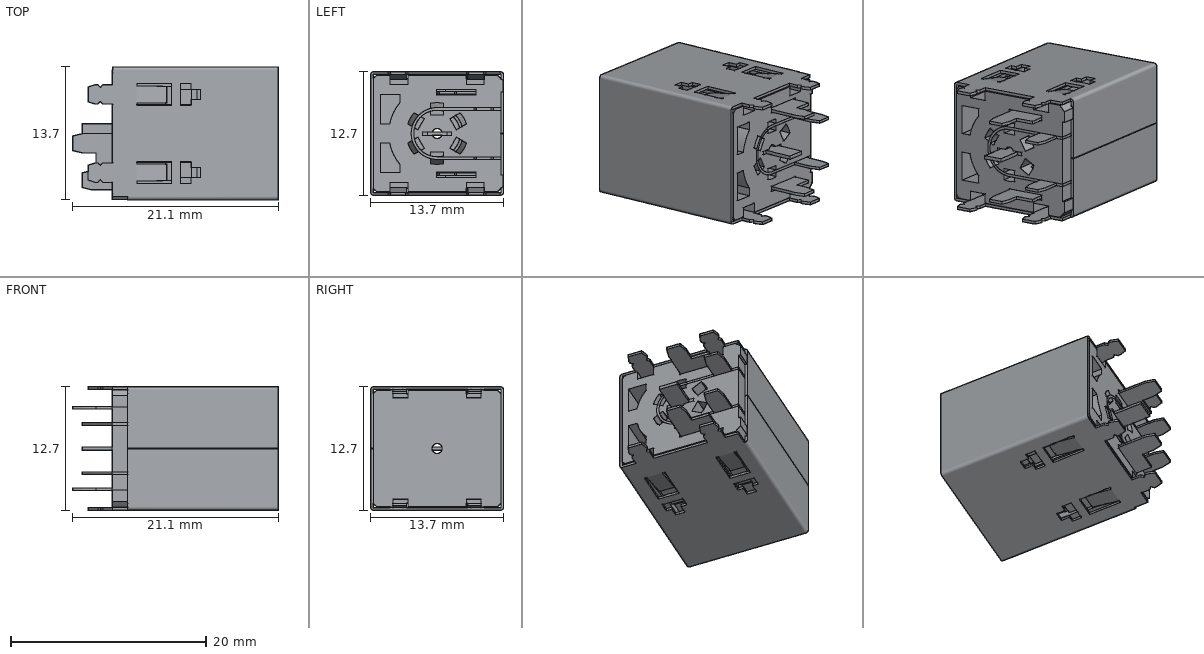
import cadquery as cq
import math

SIDES = (1, -1)

SHIELD_LENGTH = 17.0
SHIELD_WIDTH = 13.65
SHIELD_HEIGHT = 12.7
SHEET = 0.3
BEND_RADIUS = 0.35
SEAM_GAP = 0.06
REAR_BLOCK_LENGTH = 1.55
INNER_HALF_WIDTH = SHIELD_WIDTH / 2 - SHEET
INNER_HALF_HEIGHT = SHIELD_HEIGHT / 2 - SHEET

TAIL_Y = 4.0
TAIL_WIDTH = 2.0
TAIL_LENGTH = 2.51
TAIL_TIP_WIDTH = 1.55
TAIL_TAPER = 0.72
NOTCH_X = -1.27
NOTCH_HALF_LENGTH = 0.25
NOTCH_DEPTH = 0.27
WINDOW_START = 2.5
WINDOW_END = 6.03
WINDOW_WIDTH = 2.28
TEE_START = 6.98
TEE_HEAD_END = 8.04
TEE_END = 8.99
TEE_STEM_WIDTH = 1.03
LATCH_WIDTH = 1.75
LATCH_END = 5.55
LATCH_DROP = 0.53

HOUSING_REAR = -0.06
HOUSING_HALF_HEIGHT = 6.0
REAR_BLOCK_Y = -6.77
CHAMFER_SMALL = 0.34
CHAMFER_LARGE = CHAMFER_SMALL - REAR_BLOCK_Y - INNER_HALF_WIDTH
RECESS_HALF_HEIGHT = 4.25
BORE_DIAMETER = 1.01

GROOVE_INNER_Y = 3.0
GROOVE_OUTER_Y = 4.81
GROOVE_FLOOR_Z = 5.0
GROOVE_END = 5.42
CHANNEL_NARROWING = (WINDOW_END + TEE_START) / 2
CHANNEL_OUTER_Y = TAIL_Y + TEE_STEM_WIDTH / 2
CHANNEL_FLOOR_Z = 5.63
CHANNEL_STEP_X = (8.08, 8.63)
CHANNEL_STEP_DROPS = (0.38, 0.08)

POCKET_INNER_Y = 3.82
POCKET_OUTER_Y = 5.8
POCKET_LOW_Z = 1.0
POCKET_HIGH_Z = 3.99
POCKET_ARC_RADIUS = 4.95
POCKET_DEPTH = 8.45

RING_OUTER_RADIUS = 2.65
RING_INNER_RADIUS = 2.38
RING_START = 1.48
RING_END = 2.95
FINGER_COUNT = 6
FINGER_WIDTH = 1.3
FINGER_TIP_RADIUS = 3.16
OPENING_INNER_RADIUS = 1.9
RADIAL_BAR_END = 3.38

PIN_WIDTH = 2.0
PIN_TIP_WIDTH = 1.52
PIN_TAPER = 1.01
SHORT_PIN_TIP = -3.12
LONG_PIN_TIP = -4.1
RING_PIN_Y = -4.8

CENTRE_THICKNESS = 0.35
CENTRE_SHOULDER_WIDTH = 2.98
CENTRE_END = 2.53

SIDE_PLATE_Z = 4.18
SIDE_THICKNESS = 0.3
SIDE_PLATE_WIDTH = 3.97
SIDE_PLATE_START = -1.73
SIDE_PLATE_END = 3.38
SIDE_SLOT_LOW_Z = 3.97
SIDE_SLOT_HIGH_Z = 4.54
SIDE_SLOT_GAP = 0.06
SIDE_SLOT_DEPTH = 2.53
SIDE_SLOT_STEP_Y = -0.87
SIDE_SLOT_STEP_DEPTH = 1.9


def box(x_range, y_range, z_range):
    """Box between pairs of limits, each pair in any order."""
    low = [min(pair) for pair in (x_range, y_range, z_range)]
    size = [abs(pair[1] - pair[0]) for pair in (x_range, y_range, z_range)]
    return cq.Workplane().box(*size, centered=False).translate(tuple(low))


def prism_x(outline, start, end):
    """Extrude a YZ polygon along X."""
    return cq.Workplane("YZ", origin=(start, 0, 0)).polyline(outline).close().extrude(end - start)


def plate(outline, middle_z, thickness):
    """Extrude an XY polygon symmetrically about a height."""
    base = cq.Workplane("XY", origin=(0, 0, middle_z - thickness / 2))
    return base.polyline(outline).close().extrude(thickness)


def tapered_pin(tip_x, root_x, middle_y, middle_z, thickness):
    """Flat pin that narrows towards its tip."""
    taper_x = tip_x + PIN_TAPER
    upper = [
        (root_x, middle_y + PIN_WIDTH / 2),
        (taper_x, middle_y + PIN_WIDTH / 2),
        (tip_x, middle_y + PIN_TIP_WIDTH / 2),
    ]
    lower = [(x, 2 * middle_y - y) for x, y in reversed(upper)]
    return plate(upper + lower, middle_z, thickness)


def shield_sleeve():
    outer = box(
        (0, SHIELD_LENGTH),
        (-SHIELD_WIDTH / 2, SHIELD_WIDTH / 2),
        (-SHIELD_HEIGHT / 2, SHIELD_HEIGHT / 2),
    )
    inner = box(
        (0, SHIELD_LENGTH),
        (-INNER_HALF_WIDTH, INNER_HALF_WIDTH),
        (-INNER_HALF_HEIGHT, INNER_HALF_HEIGHT),
    )
    sleeve = outer.edges("|X").fillet(BEND_RADIUS).cut(inner)
    rear_cutout = box(
        (0, REAR_BLOCK_LENGTH),
        (-SHIELD_WIDTH / 2, -SHIELD_WIDTH / 2 + BEND_RADIUS),
        (-SHIELD_HEIGHT / 2, SHIELD_HEIGHT / 2),
    )
    seam = box(
        (0, SHIELD_LENGTH),
        (-SHIELD_WIDTH / 2, -INNER_HALF_WIDTH),
        (-SEAM_GAP / 2, SEAM_GAP / 2),
    )
    return sleeve.cut(rear_cutout).cut(seam)


def tail(middle_y, middle_z):
    """Board tail with a V notch in each edge."""
    half = TAIL_WIDTH / 2
    edge = [
        (0, half),
        (NOTCH_X + NOTCH_HALF_LENGTH, half),
        (NOTCH_X, half - NOTCH_DEPTH),
        (NOTCH_X - NOTCH_HALF_LENGTH, half),
        (TAIL_TAPER - TAIL_LENGTH, half),
        (-TAIL_LENGTH, TAIL_TIP_WIDTH / 2),
    ]
    outline = edge + [(x, -y) for x, y in reversed(edge)]
    return plate(outline, middle_z, SHEET).translate((0, middle_y, 0))


def latch(middle_y, side_z):
    """Tongue bent inwards from the rear edge of its window."""
    outer_z = SHIELD_HEIGHT / 2
    tip_lean = SHEET * LATCH_DROP / (LATCH_END - WINDOW_START)
    outline = [
        (WINDOW_START, side_z * outer_z),
        (LATCH_END, side_z * (outer_z - LATCH_DROP)),
        (LATCH_END - tip_lean, side_z * (outer_z - LATCH_DROP - SHEET)),
        (WINDOW_START, side_z * INNER_HALF_HEIGHT),
    ]
    profile = cq.Workplane("XZ", origin=(0, middle_y, 0)).polyline(outline).close()
    return profile.extrude(LATCH_WIDTH / 2, both=True)


def make_shield():
    shield = shield_sleeve()
    for side_z in SIDES:
        wall_z = (side_z * INNER_HALF_HEIGHT, side_z * SHIELD_HEIGHT / 2)
        for side_y in SIDES:
            middle_y = side_y * TAIL_Y
            wide = (middle_y - WINDOW_WIDTH / 2, middle_y + WINDOW_WIDTH / 2)
            narrow = (middle_y - TEE_STEM_WIDTH / 2, middle_y + TEE_STEM_WIDTH / 2)
            shield = shield.cut(box((WINDOW_START, WINDOW_END), wide, wall_z))
            shield = shield.cut(box((TEE_START, TEE_HEAD_END), wide, wall_z))
            shield = shield.cut(box((TEE_HEAD_END, TEE_END), narrow, wall_z))
            shield = shield.union(tail(middle_y, sum(wall_z) / 2))
            shield = shield.union(latch(middle_y, side_z))
    return shield


def ring_fingers():
    """Six flared fingers: a conical skin kept only where the openings are."""
    profile = [
        (RING_START, RING_OUTER_RADIUS),
        (RING_END, FINGER_TIP_RADIUS),
        (RING_END, RING_INNER_RADIUS),
        (RING_START, RING_INNER_RADIUS),
    ]
    cone = cq.Workplane("XY").polyline(profile).close().revolve(360, (0, 0, 0), (1, 0, 0))
    return cone.intersect(radial_bars(RING_START, RING_END))


def radial_bars(start, end):
    """Six radial bars that span the finger openings."""
    bars = cq.Workplane()
    for index in range(FINGER_COUNT):
        bar = box(
            (start, end),
            (-FINGER_WIDTH / 2, FINGER_WIDTH / 2),
            (OPENING_INNER_RADIUS, RADIAL_BAR_END),
        )
        bars = bars.add(bar.rotate((0, 0, 0), (1, 0, 0), index * 360 / FINGER_COUNT))
    return bars.combine()


def u_strip(start, end):
    """Strip bent in a U, open towards -Y."""
    inner, outer = RING_INNER_RADIUS, RING_OUTER_RADIUS
    profile = (
        cq.Workplane("YZ", origin=(start, 0, 0))
        .moveTo(-INNER_HALF_WIDTH, outer)
        .lineTo(0, outer)
        .threePointArc((outer, 0), (0, -outer))
        .lineTo(-INNER_HALF_WIDTH, -outer)
        .lineTo(-INNER_HALF_WIDTH, -inner)
        .lineTo(0, -inner)
        .threePointArc((inner, 0), (0, inner))
        .lineTo(-INNER_HALF_WIDTH, inner)
        .close()
    )
    return profile.extrude(end - start)


def make_ring_contact():
    ring = (
        cq.Workplane("YZ", origin=(RING_START, 0, 0))
        .circle(RING_OUTER_RADIUS)
        .circle(RING_INNER_RADIUS)
        .extrude(RING_END - RING_START)
    )
    contact = u_strip(HOUSING_REAR, RING_END).union(ring).union(ring_fingers())
    thickness = RING_OUTER_RADIUS - RING_INNER_RADIUS
    middle_z = (RING_OUTER_RADIUS + RING_INNER_RADIUS) / 2
    for side_z in SIDES:
        pin = tapered_pin(SHORT_PIN_TIP, RING_START, RING_PIN_Y, side_z * middle_z, thickness)
        contact = contact.union(pin)
    return contact


def make_centre_contact():
    half_thickness = CENTRE_THICKNESS / 2
    z_range = (-half_thickness, half_thickness)
    pin = box((SHORT_PIN_TIP, HOUSING_REAR), (-PIN_WIDTH / 2, PIN_WIDTH / 2), z_range)
    half_shoulder = CENTRE_SHOULDER_WIDTH / 2
    return pin.union(box((HOUSING_REAR, CENTRE_END), (-half_shoulder, half_shoulder), z_range))


def make_side_contact(side_z):
    middle_z = side_z * SIDE_PLATE_Z
    pin = tapered_pin(LONG_PIN_TIP, SIDE_PLATE_END, -PIN_WIDTH / 2, middle_z, SIDE_THICKNESS)
    z_range = (middle_z - SIDE_THICKNESS / 2, middle_z + SIDE_THICKNESS / 2)
    return pin.union(box((SIDE_PLATE_START, SIDE_PLATE_END), (-SIDE_PLATE_WIDTH, 0), z_range))


def housing_block():
    """Block with chamfered long edges and a wider rear end that fills the shield cutout."""
    top = HOUSING_HALF_HEIGHT
    wall = INNER_HALF_WIDTH
    upper = [
        (REAR_BLOCK_Y, top - CHAMFER_LARGE),
        (REAR_BLOCK_Y + CHAMFER_LARGE, top),
        (wall - CHAMFER_SMALL, top),
        (wall, top - CHAMFER_SMALL),
    ]
    outline = upper + [(y, -z) for y, z in reversed(upper)]
    block = prism_x(outline, HOUSING_REAR, SHIELD_LENGTH)
    beside_shield = box((REAR_BLOCK_LENGTH, SHIELD_LENGTH), (REAR_BLOCK_Y, -wall), (-top, top))
    recess = box(
        (HOUSING_REAR, REAR_BLOCK_LENGTH),
        (REAR_BLOCK_Y, -wall),
        (-RECESS_HALF_HEIGHT, RECESS_HALF_HEIGHT),
    )
    bore = cq.Workplane("YZ", origin=(HOUSING_REAR, 0, 0)).circle(BORE_DIAMETER / 2)
    return block.cut(beside_shield).cut(recess).cut(bore.extrude(SHIELD_LENGTH - HOUSING_REAR))


def latch_groove(side_y, side_z):
    """Deep groove at the rear, then a shallow channel that narrows and steps down towards the front."""
    outer_y = GROOVE_OUTER_Y
    channel_y = CHANNEL_OUTER_Y
    first_step, second_step = CHANNEL_STEP_X
    middle_floor_z = CHANNEL_FLOOR_Z - CHANNEL_STEP_DROPS[0]
    front_floor_z = middle_floor_z - CHANNEL_STEP_DROPS[1]
    sections = [
        (HOUSING_REAR, GROOVE_END, outer_y, GROOVE_FLOOR_Z),
        (GROOVE_END, CHANNEL_NARROWING, outer_y, CHANNEL_FLOOR_Z),
        (CHANNEL_NARROWING, first_step, channel_y, CHANNEL_FLOOR_Z),
        (first_step, second_step, channel_y, middle_floor_z),
        (second_step, SHIELD_LENGTH, channel_y, front_floor_z),
    ]
    groove = cq.Workplane()
    for start, end, side_limit, floor_z in sections:
        section = box(
            (start, end),
            (side_y * GROOVE_INNER_Y, side_y * side_limit),
            (side_z * floor_z, side_z * HOUSING_HALF_HEIGHT),
        )
        groove = groove.add(section)
    return groove.combine()


def corner_pocket(side_z):
    arc_y = math.sqrt(POCKET_ARC_RADIUS**2 - POCKET_LOW_Z**2)
    arc_z = math.sqrt(POCKET_ARC_RADIUS**2 - POCKET_INNER_Y**2)
    middle_angle = (math.atan2(POCKET_LOW_Z, arc_y) + math.atan2(arc_z, POCKET_INNER_Y)) / 2
    arc_middle = (
        POCKET_ARC_RADIUS * math.cos(middle_angle),
        side_z * POCKET_ARC_RADIUS * math.sin(middle_angle),
    )
    profile = (
        cq.Workplane("YZ", origin=(HOUSING_REAR, 0, 0))
        .moveTo(POCKET_OUTER_Y, side_z * POCKET_LOW_Z)
        .lineTo(arc_y, side_z * POCKET_LOW_Z)
        .threePointArc(arc_middle, (POCKET_INNER_Y, side_z * arc_z))
        .lineTo(POCKET_INNER_Y, side_z * POCKET_HIGH_Z)
        .lineTo(POCKET_OUTER_Y, side_z * POCKET_HIGH_Z)
        .close()
    )
    return profile.extrude(POCKET_DEPTH)


def finger_openings():
    limit = cq.Workplane("YZ", origin=(HOUSING_REAR, 0, 0)).circle(FINGER_TIP_RADIUS)
    return radial_bars(HOUSING_REAR, RING_END).intersect(limit.extrude(RING_END - HOUSING_REAR))


def side_slot(side_z):
    """Slot wider than the contact in it, shallower at the +Y end."""
    z_range = (side_z * SIDE_SLOT_LOW_Z, side_z * SIDE_SLOT_HIGH_Z)
    shallow_x = (HOUSING_REAR, HOUSING_REAR + SIDE_SLOT_STEP_DEPTH)
    deep_x = (HOUSING_REAR, HOUSING_REAR + SIDE_SLOT_DEPTH)
    shallow = box(shallow_x, (SIDE_SLOT_STEP_Y, SIDE_SLOT_GAP), z_range)
    return shallow.union(box(deep_x, (-SIDE_PLATE_WIDTH, SIDE_SLOT_STEP_Y), z_range))


def make_housing(inserted_bodies):
    housing = housing_block().cut(finger_openings())
    for side_z in SIDES:
        housing = housing.cut(corner_pocket(side_z)).cut(side_slot(side_z))
        for side_y in SIDES:
            housing = housing.cut(latch_groove(side_y, side_z))
    for body in inserted_bodies:
        housing = housing.cut(body, clean=False)
    return housing


shield = make_shield()
ring_contact = make_ring_contact()
centre_contact = make_centre_contact()
side_contacts = [make_side_contact(side_z) for side_z in SIDES]
housing = make_housing([shield, ring_contact, centre_contact, *side_contacts])

result = cq.Compound.makeCompound(
    [
        housing.solids().val(),
        shield.solids().val(),
        ring_contact.solids().val(),
        centre_contact.solids().val(),
        *[contact.solids().val() for contact in side_contacts],
    ]
)